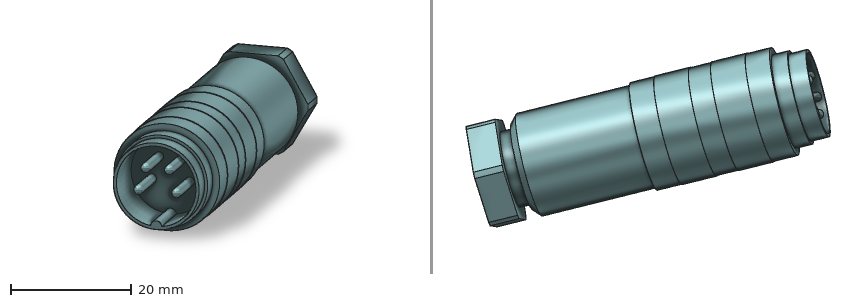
import cadquery as cq
import math

TOTAL_LENGTH = 58.0
NOSE_FACE = 0.0

NOSE_DIAMETER = 14.95
STEP_DIAMETER = 16.0
COLLAR_DIAMETER = 18.45
GRIP_DIAMETER = 18.6
BODY_DIAMETER = 17.6
NECK_DIAMETER = 13.0
BODY_END = 51.0
NUT_LENGTH = 5.0
NUT_START = TOTAL_LENGTH - NUT_LENGTH
ROUND_SECTIONS = [
    (NOSE_DIAMETER, 3.0),
    (STEP_DIAMETER, 5.8),
    (COLLAR_DIAMETER, 10.0),
    (GRIP_DIAMETER, 15.95),
    (COLLAR_DIAMETER, 19.8),
    (GRIP_DIAMETER, 25.75),
    (COLLAR_DIAMETER, 30.0),
    (BODY_DIAMETER, BODY_END),
    (NECK_DIAMETER, NUT_START),
]
BODY_CHAMFER_LENGTH = 1.3
BODY_CHAMFER_DEPTH = 1.4

NUT_ACROSS_FLATS = 17.0
NUT_CORNER_DIAMETER = 19.0

SOCKET_DIAMETER = 13.85
SOCKET_DEPTH = 8.0
PIN_DIAMETER = 1.6
PIN_CIRCLE_RADIUS = 3.5
PIN_POSITIONS = 5
KEY_RADIUS = 1.0


def cylinder(diameter, start, end, x=0.0, z=0.0):
    """Solid cylinder along Y between two positions."""
    plane = cq.Plane(origin=(x, start, z), xDir=(1, 0, 0), normal=(0, 1, 0))
    return cq.Workplane(plane).circle(diameter / 2).extrude(end - start)


def make_shell():
    """Revolved stepped housing, including the chamfer at the rear of the body."""
    outline = cq.Workplane("XY").moveTo(0, NOSE_FACE)
    start = NOSE_FACE
    for diameter, end in ROUND_SECTIONS:
        radius = diameter / 2
        outline = outline.lineTo(radius, start)
        if end == BODY_END:
            outline = outline.lineTo(radius, end - BODY_CHAMFER_LENGTH)
            outline = outline.lineTo(radius - BODY_CHAMFER_DEPTH, end)
        else:
            outline = outline.lineTo(radius, end)
        start = end
    return outline.lineTo(0, start).close().revolve(360, (0, 0, 0), (0, 1, 0))


def make_nut():
    """Hexagon with flats facing up and down, trimmed by a cylinder at the corners."""
    across_corners = NUT_ACROSS_FLATS / math.cos(math.pi / 6)
    plane = cq.Plane(origin=(0, NUT_START, 0), xDir=(1, 0, 0), normal=(0, 1, 0))
    hexagon = cq.Workplane(plane).polygon(6, across_corners).extrude(NUT_LENGTH)
    return hexagon.intersect(cylinder(NUT_CORNER_DIAMETER, NUT_START, TOTAL_LENGTH))


def make_pin(angle):
    """Contact pin with a hemispherical tip, standing on the socket floor."""
    x = PIN_CIRCLE_RADIUS * math.cos(angle)
    z = PIN_CIRCLE_RADIUS * math.sin(angle)
    radius = PIN_DIAMETER / 2
    shank_start = NOSE_FACE + radius
    shank = cylinder(PIN_DIAMETER, shank_start, SOCKET_DEPTH, x, z)
    tip = cq.Workplane("XY").sphere(radius).translate((x, shank_start, z))
    return shank.union(tip)


def make_key():
    """Half-round rib along the bottom of the socket wall."""
    rib = cylinder(2 * KEY_RADIUS, NOSE_FACE, SOCKET_DEPTH, z=-SOCKET_DIAMETER / 2)
    return rib.intersect(cylinder(NOSE_DIAMETER, NOSE_FACE, SOCKET_DEPTH))


result = make_shell().union(make_nut())
result = result.cut(cylinder(SOCKET_DIAMETER, NOSE_FACE, SOCKET_DEPTH))
result = result.union(make_key())
for position in range(1, PIN_POSITIONS):
    result = result.union(make_pin(-math.pi / 2 + position * 2 * math.pi / PIN_POSITIONS))